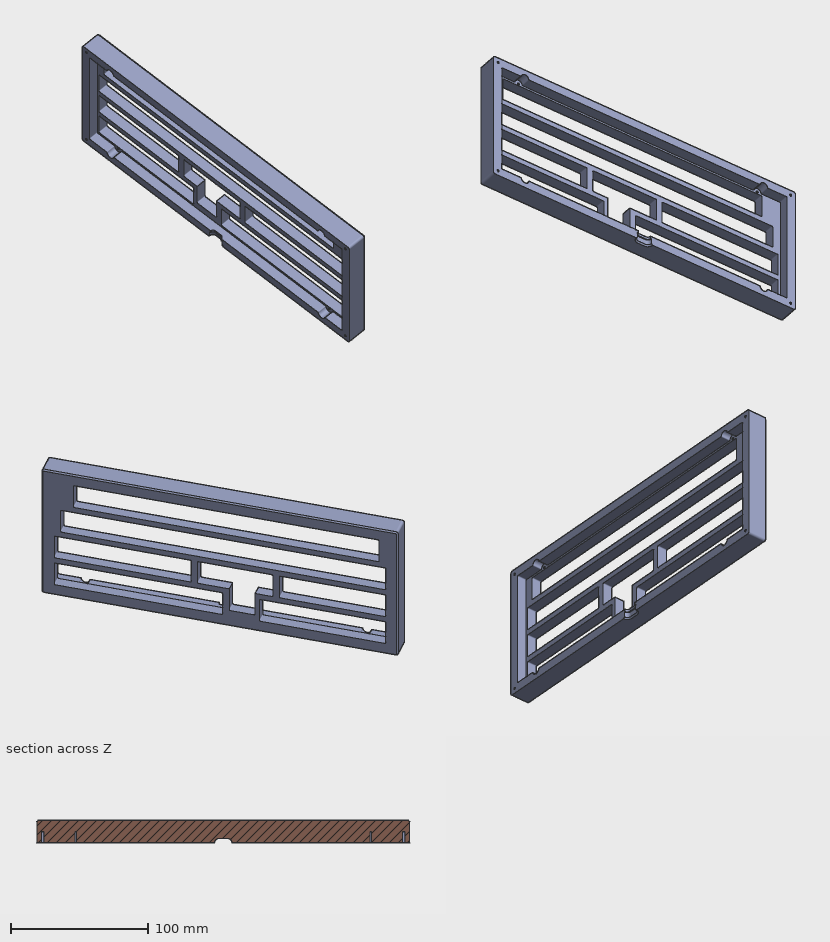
import cadquery as cq
LENGTH = 271.5
DEPTH = 16.5
HEIGHT = 109.7
CORNER_RADIUS = 2.0
BACK_CHAMFER = 1.0

POCKET_LENGTH = 256.3
POCKET_HEIGHT = 94.5
POCKET_DEPTH = 8.1
POCKET_RADIUS = 0.8

ROW_PITCH = 24.0
ROW_HEIGHT = 19.3
WINDOW_RADIUS = 0.8
LEFT_EDGE = -126.5
RIGHT_EDGE = 126.0
TOP_ROW_SPAN = (-121.3, 111.3)
SECOND_ROW_SPAN = (LEFT_EDGE, 121.0)
THIRD_ROW_SPANS = [(LEFT_EDGE, -45.5), (-40.5, 16.8), (21.7, RIGHT_EDGE)]
BOTTOM_ROW_SPANS = [(LEFT_EDGE, -30.5), (-2.2, RIGHT_EDGE)]
STEM_SPAN = (-27.0, -7.3)
STEM_BOTTOM = -40.7

HOLE_DIAMETER = 1.5
HOLE_DEPTH = 8.1
CORNER_HOLE_INSET = 4.3
FLOOR_HOLE_DEPTH = 4.0
RELIEF_X = 107.2
RELIEF_RADIUS = 3.3

NOTCH_X = 0.0
NOTCH_WIDTH = 12.5
NOTCH_DEPTH = 3.3
NOTCH_RADIUS = 3.3
NOTCH_TOP = -49.5
NOTCH_STEP = 0.8
NOTCH_CHAMFER = 1.0
MARGIN = 0.3

FRONT = -DEPTH / 2
POCKET_FLOOR = FRONT + POCKET_DEPTH
POCKET_EDGE = POCKET_HEIGHT / 2
BOTTOM = -HEIGHT / 2
RELIEF_POINTS = [(x, z) for x in (-RELIEF_X, RELIEF_X) for z in (-POCKET_EDGE, POCKET_EDGE)]


def front_plane(y):
    """Sketch plane at the given y, with local axes X and Z; a negative extrusion runs towards +Y."""
    return cq.Workplane("XZ", origin=(0, y, 0))


def row_middle(row):
    """Height of the middle of a window row, counted from the top."""
    return (1.5 - row) * ROW_PITCH


def window(span, z_low, z_high):
    """Cutter for one window, rounded in its four corners."""
    left, right = span
    return (
        front_plane(FRONT)
        .center((left + right) / 2, (z_low + z_high) / 2)
        .rect(right - left, z_high - z_low)
        .extrude(-DEPTH)
        .edges("|Y")
        .fillet(WINDOW_RADIUS)
    )


def row_window(row, span):
    """Cutter for a window that fills the height of its row."""
    middle = row_middle(row)
    return window(span, middle - ROW_HEIGHT / 2, middle + ROW_HEIGHT / 2)


def notch_section(inset, z_low, z_high):
    """Slot with rounded inner corners; inset shrinks its sides and its depth."""
    width = NOTCH_WIDTH - 2 * inset
    depth = NOTCH_DEPTH - inset
    return (
        cq.Workplane("XY", origin=(NOTCH_X, FRONT, z_low))
        .rect(width, 2 * depth)
        .extrude(z_high - z_low)
        .edges("|Z and >Y")
        .fillet(NOTCH_RADIUS - inset)
    )


def make_body():
    """Plain block with rounded corners and a chamfer around its back face."""
    body = cq.Workplane("XY").box(LENGTH, DEPTH, HEIGHT)
    body = body.edges("|Y").fillet(CORNER_RADIUS)
    return body.faces(">Y").chamfer(BACK_CHAMFER)


def pocket():
    """Cutter for the front pocket with a round relief beside each hole in its floor."""
    recess = front_plane(FRONT).rect(POCKET_LENGTH, POCKET_HEIGHT).extrude(-POCKET_DEPTH)
    reliefs = front_plane(FRONT).pushPoints(RELIEF_POINTS).circle(RELIEF_RADIUS).extrude(-POCKET_DEPTH)
    return recess.union(reliefs).edges("|Y").fillet(POCKET_RADIUS)


def cut_windows(body):
    body = body.cut(row_window(0, TOP_ROW_SPAN))
    body = body.cut(row_window(1, SECOND_ROW_SPAN))
    for span in THIRD_ROW_SPANS:
        body = body.cut(row_window(2, span))
    for span in BOTTOM_ROW_SPANS:
        body = body.cut(row_window(3, span))
    return body.cut(window(STEM_SPAN, STEM_BOTTOM, row_middle(2)))


def cut_screw_holes(body):
    corner_holes = (
        front_plane(FRONT)
        .rect(LENGTH - 2 * CORNER_HOLE_INSET, HEIGHT - 2 * CORNER_HOLE_INSET, forConstruction=True)
        .vertices()
        .circle(HOLE_DIAMETER / 2)
        .extrude(-HOLE_DEPTH)
    )
    floor_holes = (
        front_plane(POCKET_FLOOR)
        .pushPoints(RELIEF_POINTS)
        .circle(HOLE_DIAMETER / 2)
        .extrude(-FLOOR_HOLE_DEPTH)
    )
    return body.cut(corner_holes).cut(floor_holes)


def cut_notch(body):
    """Cut the stepped notch through the lower wall and chamfer its rim on the underside."""
    lower = notch_section(0, BOTTOM, NOTCH_TOP)
    upper = notch_section(NOTCH_STEP, NOTCH_TOP, -POCKET_EDGE)
    body = body.cut(lower).cut(upper)
    half_width = NOTCH_WIDTH / 2
    rim = cq.selectors.BoxSelector(
        (NOTCH_X - half_width - MARGIN, FRONT - MARGIN, BOTTOM - MARGIN),
        (NOTCH_X + half_width + MARGIN, FRONT + NOTCH_DEPTH + MARGIN, BOTTOM + MARGIN),
    )
    return body.edges(rim).chamfer(NOTCH_CHAMFER)


result = make_body().cut(pocket())
result = cut_windows(result)
result = cut_screw_holes(result)
result = cut_notch(result)